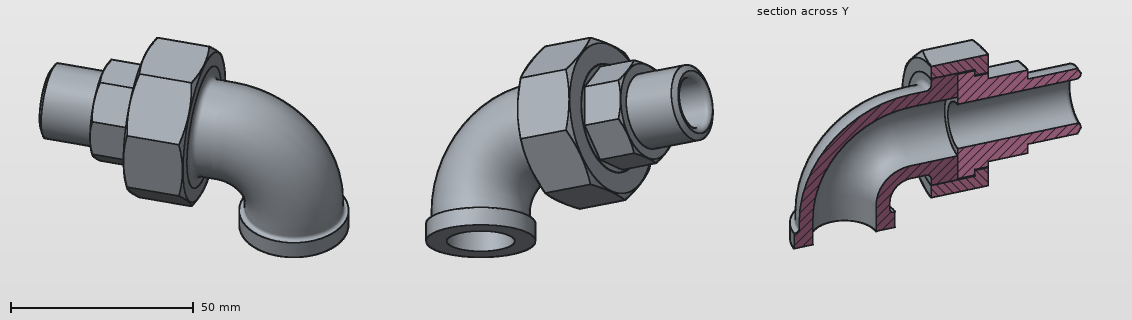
import cadquery as cq
import math

TOTAL_LENGTH = 84.9
TOTAL_HEIGHT = 49.0
SPIGOT_END = 15.7
NUT_FRONT = 27.4
NUT_BACK = 44.4
COLLAR_END = 31.4
SEAT = 36.5
BEND_START = 50.4

SPIGOT_DIAMETER = 21.0
SPIGOT_TIP_DIAMETER = 17.4
TAIL_BORE = 14.0
BORE_LIP_RADIUS = 1.5
TAIL_FLATS = 26.7
TAIL_CHAMFER_DIAMETER = 26.5
COLLAR_DIAMETER = 30.0
FLANGE_DIAMETER = 33.5

NUT_FLATS = 42.0
NUT_CHAMFER_DIAMETER = 41.7
NUT_COLLAR_HOLE = 30.2
NUT_BORE = 33.9

PIPE_DIAMETER = 27.0
ELBOW_BORE = 18.6
BEAD_DIAMETER = 30.0
BEAD_HEIGHT = 5.0
BEAD_FILLET = 1.0
HEAD_FILLET = 1.45
OUTLET_Z = NUT_FLATS / 2 - TOTAL_HEIGHT
OUTLET_X = TOTAL_LENGTH - BEAD_DIAMETER / 2
BEND_RADIUS = OUTLET_X - BEND_START

OCTAGON_SIDES = 8
CHAMFER_ANGLE = 30.0
CHAMFER_SLOPE = math.tan(math.radians(CHAMFER_ANGLE))


def cylinder_x(start, end, diameter):
    """Cylinder on the inlet axis between two X stations."""
    return cq.Workplane("YZ", origin=(start, 0, 0)).circle(diameter / 2).extrude(end - start)


def octagon_x(start, end, flats):
    """Octagonal prism along X with flats facing +/-Y and +/-Z."""
    corner_diameter = flats / math.cos(math.pi / OCTAGON_SIDES)
    prism = cq.Workplane("YZ").polygon(OCTAGON_SIDES, corner_diameter).extrude(end - start)
    half_side_angle = 180 / OCTAGON_SIDES
    return prism.rotate((0, 0, 0), (1, 0, 0), half_side_angle).translate((start, 0, 0))


def chamfer_envelope(start, end, face_diameter, flats, chamfer_end):
    """Turned shape whose conical ends trim the corners of an octagon."""
    face_radius = face_diameter / 2
    outer_radius = flats
    cone_depth = (outer_radius - face_radius) * CHAMFER_SLOPE
    trimmer = (
        cq.Workplane("XY")
        .moveTo(start, 0)
        .lineTo(start, face_radius)
        .lineTo(start + cone_depth, outer_radius)
        .lineTo(end + cone_depth, outer_radius)
        .lineTo(end + cone_depth, 0)
        .close()
        .revolve(360, (0, 0, 0), (1, 0, 0))
    )
    if not chamfer_end:
        return trimmer
    middle = (start + end) / 2
    return trimmer.intersect(trimmer.mirror("YZ", (middle, 0, 0)))


def make_tailpiece():
    tip_radius = SPIGOT_TIP_DIAMETER / 2
    spigot_radius = SPIGOT_DIAMETER / 2
    tip_length = (spigot_radius - tip_radius) * CHAMFER_SLOPE
    spigot = (
        cq.Workplane("XY")
        .moveTo(0, 0)
        .lineTo(0, tip_radius)
        .lineTo(tip_length, spigot_radius)
        .lineTo(SPIGOT_END, spigot_radius)
        .lineTo(SPIGOT_END, 0)
        .close()
        .revolve(360, (0, 0, 0), (1, 0, 0))
    )
    grip = octagon_x(SPIGOT_END, NUT_FRONT, TAIL_FLATS).intersect(
        chamfer_envelope(SPIGOT_END, NUT_FRONT, TAIL_CHAMFER_DIAMETER, TAIL_FLATS, False)
    )
    collar = cylinder_x(NUT_FRONT, COLLAR_END, COLLAR_DIAMETER)
    flange = cylinder_x(COLLAR_END, SEAT, FLANGE_DIAMETER)
    body = spigot.union(grip).union(collar).union(flange)
    body = body.cut(cylinder_x(0, SEAT, TAIL_BORE))
    bore_lip = cq.selectors.RadiusNthSelector(0)
    return body.faces("<X").edges(bore_lip).fillet(BORE_LIP_RADIUS)


def make_nut():
    blank = octagon_x(NUT_FRONT, NUT_BACK, NUT_FLATS).intersect(
        chamfer_envelope(NUT_FRONT, NUT_BACK, NUT_CHAMFER_DIAMETER, NUT_FLATS, True)
    )
    collar_hole = cylinder_x(NUT_FRONT, COLLAR_END, NUT_COLLAR_HOLE)
    bore = cylinder_x(COLLAR_END, NUT_BACK, NUT_BORE)
    return blank.cut(collar_hole).cut(bore)


def elbow_sweep(diameter):
    """Round bar from the seat, around the bend and down to the outlet."""
    path = (
        cq.Workplane("XZ")
        .moveTo(SEAT, 0)
        .lineTo(BEND_START, 0)
        .radiusArc((OUTLET_X, -BEND_RADIUS), BEND_RADIUS)
        .lineTo(OUTLET_X, OUTLET_Z)
    )
    return cq.Workplane("YZ", origin=(SEAT, 0, 0)).circle(diameter / 2).sweep(path)


def flare(start, radius):
    """Concave fillet ring around a pipe that runs along +X from the start station."""
    pipe_radius = PIPE_DIAMETER / 2
    arc_offset = radius * (1 - math.sqrt(0.5))
    return (
        cq.Workplane("XY")
        .moveTo(start, 0)
        .lineTo(start, pipe_radius + radius)
        .threePointArc(
            (start + arc_offset, pipe_radius + arc_offset),
            (start + radius, pipe_radius),
        )
        .lineTo(start + radius, 0)
        .close()
        .revolve(360, (0, 0, 0), (1, 0, 0))
    )


def make_elbow():
    head = cylinder_x(SEAT, NUT_BACK, NUT_BORE).union(flare(NUT_BACK, HEAD_FILLET))
    bead = cylinder_x(0, BEAD_HEIGHT, BEAD_DIAMETER).union(flare(BEAD_HEIGHT, BEAD_FILLET))
    bead = bead.rotate((0, 0, 0), (0, 1, 0), -90).translate((OUTLET_X, 0, OUTLET_Z))
    body = elbow_sweep(PIPE_DIAMETER).union(head).union(bead)
    return body.cut(elbow_sweep(ELBOW_BORE))


tailpiece = make_tailpiece()
nut = make_nut()
elbow = make_elbow()

result = cq.Compound.makeCompound([tailpiece.solids().val(), nut.solids().val(), elbow.solids().val()])